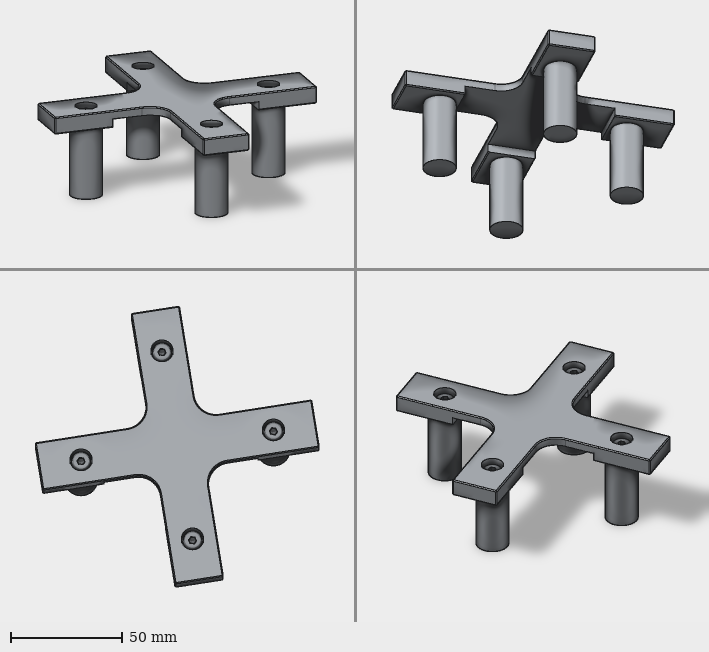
import cadquery as cq
import math

overall_width = 103.9
arm_width = 22.0
arm_angle = 45
edge_chamfer = 0.5
arm_span = overall_width * math.sqrt(2) - arm_width + 2 * edge_chamfer
inner_corner_radius = 10.0
web_thickness = 4.0
pad_thickness = 8.0
pad_length = 28.0

leg_offset = 31.0
leg_places = [(x, y) for x in (-leg_offset, leg_offset) for y in (-leg_offset, leg_offset)]
overall_height = 42.0
leg_diameter = 15.0
leg_chamfer = 0.3
leg_length = overall_height - pad_thickness

counterbore_diameter = 10.0
counterbore_depth = 6.0
clearance_diameter = 5.2

head_diameter = 8.5
head_height = 3.5
head_fillet = 0.5
shank_diameter = 5.0
thread_depth = 10.0
socket_flats = 3.0
socket_corners = socket_flats / math.cos(math.pi / 6)
socket_depth = 1.6
socket_tip_angle = 118

seat_z = -counterbore_depth
head_top_z = seat_z + head_height


def at_leg(body, place):
    """Move a body from the Z axis to one leg place."""
    return body.translate((*place, 0))


def cross_blank():
    """Full-thickness cross with arms along X and Y, rounded inner corners and chamfered outer edges."""
    arm_x = cq.Workplane("XY").rect(arm_span, arm_width).extrude(-pad_thickness)
    arm_y = cq.Workplane("XY").rect(arm_width, arm_span).extrude(-pad_thickness)
    blank = arm_x.union(arm_y)
    inner_box = cq.selectors.BoxSelector(
        (-arm_width, -arm_width, -overall_height), (arm_width, arm_width, overall_height)
    )
    blank = blank.edges("|Z").edges(inner_box).fillet(inner_corner_radius)
    for side in (">X", "<X", ">Y", "<Y"):
        blank = blank.faces(side).edges("|Z").chamfer(edge_chamfer)
    return blank.faces("<Z or >Z").chamfer(edge_chamfer)


def make_plate():
    """Cross plate, thinned between the pads at the arm tips, with four screw seats."""
    relief_span = arm_span - 2 * pad_length
    relief = (
        cq.Workplane("XY").workplane(offset=-pad_thickness)
        .rect(relief_span, relief_span).extrude(pad_thickness - web_thickness)
    )
    plate = cross_blank().cut(relief).rotate((0, 0, 0), (0, 0, 1), arm_angle)
    seat = cq.Workplane("XY").circle(counterbore_diameter / 2).extrude(-counterbore_depth)
    clearance = cq.Workplane("XY").circle(clearance_diameter / 2).extrude(-pad_thickness)
    for place in leg_places:
        plate = plate.cut(at_leg(seat.union(clearance), place))
    return plate


def make_leg():
    """Round leg under the plate with a blind hole for the screw."""
    leg = cq.Workplane("XY").workplane(offset=-pad_thickness).circle(leg_diameter / 2).extrude(-leg_length)
    leg = leg.faces(">Z").chamfer(leg_chamfer)
    return leg.faces(">Z").workplane().hole(shank_diameter, thread_depth)


def hexagon_socket():
    """Hexagon socket with a conical bottom that reaches into its corners."""
    drill_radius = socket_corners / 2
    cone_depth = drill_radius / math.tan(math.radians(socket_tip_angle / 2))
    full_depth = socket_depth + cone_depth
    drill = (
        cq.Workplane("XZ")
        .moveTo(0, head_top_z)
        .lineTo(drill_radius, head_top_z)
        .lineTo(drill_radius, head_top_z - socket_depth)
        .lineTo(0, head_top_z - full_depth)
        .close()
        .revolve(360, (0, 0, 0), (0, 1, 0))
    )
    hexagon = cq.Workplane("XY").workplane(offset=head_top_z).polygon(6, socket_corners).extrude(-full_depth)
    return hexagon.intersect(drill)


def make_screw():
    """Screw with a rounded low head and a plain shank that fills the leg hole."""
    head = cq.Workplane("XY").workplane(offset=seat_z).circle(head_diameter / 2).extrude(head_height)
    head = head.faces(">Z").edges().fillet(head_fillet)
    shank_length = pad_thickness - counterbore_depth + thread_depth
    shank = cq.Workplane("XY").workplane(offset=seat_z).circle(shank_diameter / 2).extrude(-shank_length)
    return head.union(shank).cut(hexagon_socket())


plate = make_plate()
legs = [at_leg(make_leg(), place) for place in leg_places]
screws = [at_leg(make_screw(), place) for place in leg_places]

result = cq.Compound.makeCompound(
    [plate.val(), *[leg.val() for leg in legs], *[screw.val() for screw in screws]]
)